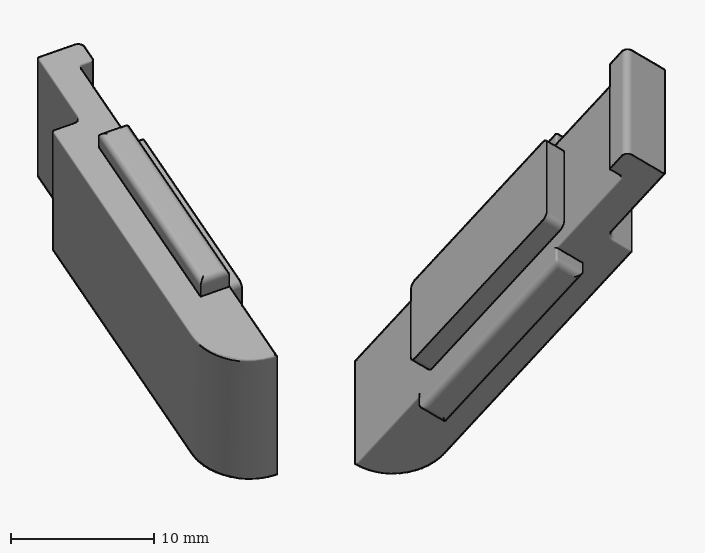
import cadquery as cq

body_length = 33.46
body_height = 12.0
body_depth = 4.5
nose_radius = body_depth

edge_break = 0.15

tang_front = 2.2
step_x = 6.8
step_fillet = 0.5
hook_width = 2.0
hook_back = 5.6
hook_tip_fillet = 0.5
hook_root_fillet = 0.2

overall_height = 15.0
rail_start_x = 9.7
rail_length = 16.25
rail_front = tang_front
rail_fillet = 0.5

pad_start_x = 8.8
pad_length = 16.0
pad_height = 9.0
pad_back = 6.0
pad_corner_fillet = 0.5


def block(x_min, y_min, length, depth, height):
    """Box placed by its low X and Y corner, centred on Z = 0."""
    return (
        cq.Workplane("XY")
        .box(length, depth, height, centered=(False, False, True))
        .translate((x_min, y_min, 0))
    )


def vertical_edges_at(solid, x, y):
    """Edges parallel to Z that pass through the point (x, y)."""
    reach = 0.01
    selector = cq.selectors.BoxSelector(
        (x - reach, y - reach, -reach), (x + reach, y + reach, reach)
    )
    return solid.edges("|Z").edges(selector)


def make_body():
    body = (
        cq.Workplane("XY")
        .workplane(offset=-body_height / 2)
        .moveTo(0, tang_front)
        .lineTo(step_x, tang_front)
        .lineTo(step_x, 0)
        .lineTo(body_length - nose_radius, 0)
        .radiusArc((body_length, body_depth), -nose_radius)
        .lineTo(hook_width, body_depth)
        .lineTo(hook_width, hook_back)
        .lineTo(0, hook_back)
        .close()
        .extrude(body_height)
    )
    body = vertical_edges_at(body, step_x, tang_front).fillet(step_fillet)
    body = vertical_edges_at(body, hook_width, body_depth).fillet(hook_root_fillet)

    broken_edges = body.faces("<Z or >Z").edges("not(<X or >Y)").vals()
    broken_edges += vertical_edges_at(body, step_x, 0).vals()
    broken_edges += vertical_edges_at(body, hook_width, hook_back).vals()
    body = body.newObject(broken_edges).fillet(edge_break)

    return vertical_edges_at(body, 0, hook_back).fillet(hook_tip_fillet)


def make_rails():
    """One bar through the body whose rounded ends form both rails."""
    bar = block(rail_start_x, rail_front, rail_length, body_depth - rail_front, overall_height)
    bar = bar.faces("<Z or >Z").edges().fillet(rail_fillet)
    return bar.faces("<X or >X").edges(">Y").fillet(edge_break)


def make_pad():
    pad = block(pad_start_x, rail_front, pad_length, pad_back - rail_front, pad_height)
    return pad.edges("|Y").fillet(pad_corner_fillet)


result = make_body().union(make_rails()).union(make_pad())